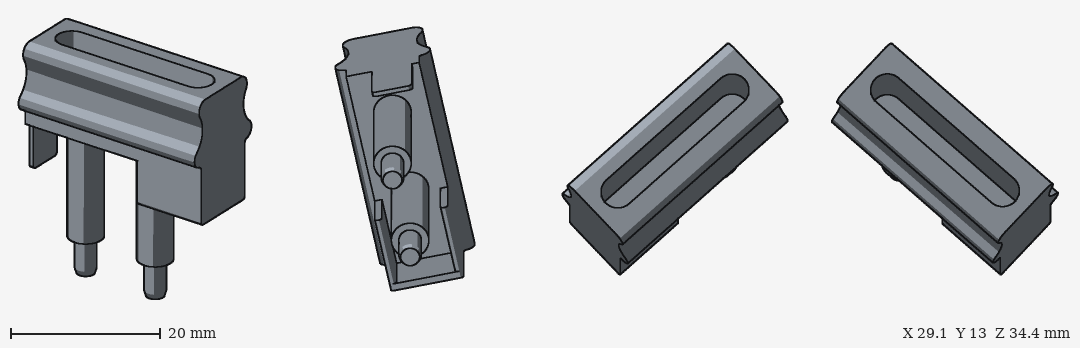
import cadquery as cq
import math

housing_length = 29.1
housing_top = 34.4
housing_underside = 22.4
wall_half_width = 5.0

top_flat_half = 4.0
shoulder_radius = 1.48
groove_radius = 4.0
waist_half = 4.68
lobe_radius = 1.38
lobe_half = 6.5
root_radius = 0.48

pocket_length = 25.3
pocket_width = 4.47
pocket_end_wall = (housing_length - pocket_length) / 2
pocket_floor = housing_underside + pocket_end_wall

leg_bottom = 15.8
leg_length = 10.53
leg_thickness = 1.0
leg_edge_radius = 0.48

tab_bottom = 15.35
tab_thickness = 0.62
tab_y_min = leg_thickness - wall_half_width
tab_width = 5.47
tab_corner_radius = 0.6

pin_pitch = 11.5
first_pin_x = -8.15
pin_positions = [first_pin_x, first_pin_x + pin_pitch]
sleeve_bottom = 5.5
sleeve_radius = 2.5
screw_radius = 1.5
screw_tip_radius = 1.27
screw_tip_height = 0.83

end_x = housing_length / 2


def point_between(start, end, distance):
    """Point on the line from start towards end, at the given distance from start."""
    ratio = distance / math.dist(start, end)
    return (start[0] + ratio * (end[0] - start[0]), start[1] + ratio * (end[1] - start[1]))


def arc_middle(center, radius, start, end):
    """Point halfway along the shorter arc from start to end."""
    chord_middle = ((start[0] + end[0]) / 2, (start[1] + end[1]) / 2)
    return point_between(center, chord_middle, radius)


def height_between(center_distance, horizontal_offset):
    """Vertical distance of two tangent circles' centers."""
    return math.sqrt(center_distance**2 - horizontal_offset**2)


def make_body():
    """Half contour of four tangent arcs (Y, Z), mirrored and extruded along X."""
    shoulder_center = (top_flat_half, housing_top - shoulder_radius)

    groove_y = waist_half + groove_radius
    groove_drop = height_between(shoulder_radius + groove_radius, groove_y - shoulder_center[0])
    groove_center = (groove_y, shoulder_center[1] - groove_drop)

    lobe_y = lobe_half - lobe_radius
    lobe_drop = height_between(groove_radius + lobe_radius, groove_y - lobe_y)
    lobe_center = (lobe_y, groove_center[1] - lobe_drop)

    root_y = wall_half_width + root_radius
    root_drop = height_between(lobe_radius + root_radius, root_y - lobe_y)
    root_center = (root_y, lobe_center[1] - root_drop)

    shoulder_start = (top_flat_half, housing_top)
    groove_start = point_between(shoulder_center, groove_center, shoulder_radius)
    lobe_start = point_between(lobe_center, groove_center, lobe_radius)
    root_start = point_between(lobe_center, root_center, lobe_radius)
    wall_start = (wall_half_width, root_center[1])

    return (
        cq.Workplane("YZ", origin=(-end_x, 0, 0))
        .moveTo(0, housing_top)
        .lineTo(*shoulder_start)
        .threePointArc(
            arc_middle(shoulder_center, shoulder_radius, shoulder_start, groove_start), groove_start
        )
        .threePointArc(arc_middle(groove_center, groove_radius, groove_start, lobe_start), lobe_start)
        .threePointArc((lobe_half, lobe_center[1]), root_start)
        .threePointArc(arc_middle(root_center, root_radius, root_start, wall_start), wall_start)
        .lineTo(wall_half_width, housing_underside)
        .lineTo(0, housing_underside)
        .mirrorY()
        .extrude(housing_length)
    )


def make_pocket():
    return (
        cq.Workplane("XY", origin=(0, 0, pocket_floor))
        .slot2D(pocket_length, pocket_width)
        .extrude(housing_top - pocket_floor)
    )


def make_leg(y_min):
    """Side leg with rounded lower edges, reaching to the +X end."""
    return (
        cq.Workplane("XY", origin=(end_x - leg_length, y_min, leg_bottom))
        .box(leg_length, leg_thickness, housing_underside - leg_bottom, centered=False)
        .edges("|X and <Z")
        .fillet(leg_edge_radius)
    )


def make_end_wall():
    """Wall closing the skirt at the +X end, between the middles of the two legs."""
    return cq.Workplane("XY", origin=(end_x - leg_thickness, 0, leg_bottom)).box(
        leg_thickness,
        2 * wall_half_width - leg_thickness,
        housing_underside - leg_bottom,
        centered=(False, True, False),
    )


def make_tab():
    return (
        cq.Workplane("XY", origin=(-end_x, tab_y_min, tab_bottom))
        .box(tab_thickness, tab_width, housing_underside - tab_bottom, centered=False)
        .edges("|X and <Z")
        .fillet(tab_corner_radius)
    )


def make_housing():
    housing = make_body().cut(make_pocket())
    for leg_y_min in (-wall_half_width, wall_half_width - leg_thickness):
        housing = housing.union(make_leg(leg_y_min))
    return housing.union(make_end_wall()).union(make_tab())


def make_sleeve(x):
    """Tube below the housing, around one screw."""
    return (
        cq.Workplane("XY", origin=(x, 0, sleeve_bottom))
        .circle(sleeve_radius)
        .circle(screw_radius)
        .extrude(housing_underside - sleeve_bottom)
    )


def make_screw(x):
    """Plain shank with a tapered tip, ending at the underside of the housing."""
    return (
        cq.Workplane("XZ", origin=(x, 0, 0))
        .moveTo(0, 0)
        .lineTo(screw_tip_radius, 0)
        .lineTo(screw_radius, screw_tip_height)
        .lineTo(screw_radius, housing_underside)
        .lineTo(0, housing_underside)
        .close()
        .revolve(360, (0, 0, 0), (0, 1, 0))
    )


housing = make_housing()
sleeves = [make_sleeve(x) for x in pin_positions]
screws = [make_screw(x) for x in pin_positions]

result = cq.Compound.makeCompound(
    [
        housing.val(),
        *[sleeve.val() for sleeve in sleeves],
        *[screw.val() for screw in screws],
    ]
)